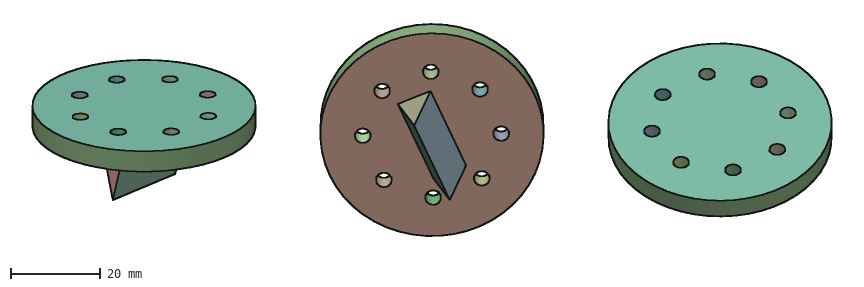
import cadquery as cq

disc_diameter = 50.0
disc_thickness = 5.0

hole_count = 8
hole_diameter = 3.5
hole_circle_radius = 15.5
first_hole_angle = 360.0 / hole_count / 2

wedge_width = 8.0
wedge_length = 20.0
wedge_height = 15.0


def make_disc():
    """Disc with its underside at Z = 0 and a ring of through holes."""
    return (
        cq.Workplane("XY")
        .circle(disc_diameter / 2)
        .extrude(disc_thickness)
        .faces(">Z")
        .workplane()
        .polarArray(hole_circle_radius, first_hole_angle, 360, hole_count)
        .hole(hole_diameter)
    )


def make_wedge():
    """Triangular prism that tapers from the disc underside to a sharp edge."""
    half_width = wedge_width / 2
    return (
        cq.Workplane("XZ")
        .polyline([(-half_width, 0), (half_width, 0), (0, -wedge_height)])
        .close()
        .extrude(wedge_length / 2, both=True)
    )


result = make_disc().union(make_wedge())